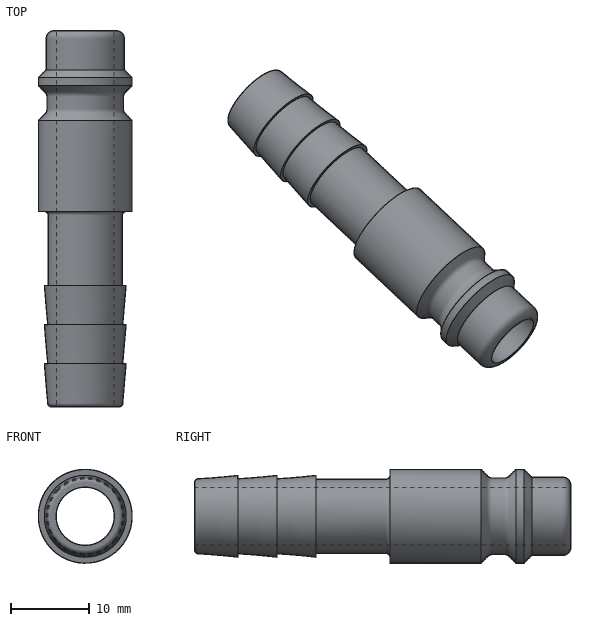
import cadquery as cq
import math

length = 48.0
hose_end = -length / 2
plug_end = length / 2

body_radius = 6.0
tip_radius = 5.0
groove_radius = 4.9
tube_radius = 4.75
bore_radius = 3.7

tip_length = 5.0
tip_fillet = 1.0
collar_width = 1.0
groove_width = 4.45
groove_fillet = 0.8

shoulder_distance = 24.9
shoulder_fillet = 0.5
barb_count = 3
barb_radius = 5.25
barb_root_radius = 4.8
first_barb_length = 5.5
barb_pitch = 5.0
hose_end_fillet = 0.5

collar_front = plug_end - tip_length - (body_radius - tip_radius)
collar_back = collar_front - collar_width
body_front = collar_back - groove_width
shoulder = hose_end + shoulder_distance
groove_depth = body_radius - groove_radius

blend_angle = math.radians(45)
flank_blend_rise = groove_fillet * (1 - math.cos(blend_angle))
flank_blend_length = groove_fillet * math.sin(blend_angle)
blend_setback = groove_fillet * math.tan(blend_angle / 2)
mid_rise = groove_fillet * (1 - math.cos(blend_angle / 2))
mid_length = groove_fillet * math.sin(blend_angle / 2)
floor_back = body_front + groove_depth + blend_setback
floor_front = collar_back - groove_depth - blend_setback


def add_barbs(profile):
    """Draw the barbs from the hose end towards the tube."""
    for i in range(barb_count):
        crest = hose_end + first_barb_length + i * barb_pitch
        is_last = i == barb_count - 1
        next_radius = tube_radius if is_last else barb_root_radius
        profile = profile.lineTo(barb_radius, crest).lineTo(next_radius, crest)
    return profile


def add_shoulder(profile):
    """Draw the plain tube, its blended shoulder and the body."""
    return (
        profile.lineTo(tube_radius, shoulder - shoulder_fillet)
        .radiusArc((tube_radius + shoulder_fillet, shoulder), shoulder_fillet)
        .lineTo(body_radius, shoulder)
        .lineTo(body_radius, body_front)
    )


def add_groove(profile):
    """Draw the locking groove with both flanks blended into its floor."""
    blend_radius = groove_radius + flank_blend_rise
    middle_radius = groove_radius + mid_rise
    return (
        profile.lineTo(blend_radius, floor_back - flank_blend_length)
        .threePointArc((middle_radius, floor_back - mid_length), (groove_radius, floor_back))
        .lineTo(groove_radius, floor_front)
        .threePointArc(
            (middle_radius, floor_front + mid_length),
            (blend_radius, floor_front + flank_blend_length),
        )
        .lineTo(body_radius, collar_back)
    )


def add_tip(profile):
    """Draw the collar and the rounded plug tip."""
    return (
        profile.lineTo(body_radius, collar_front)
        .lineTo(tip_radius, plug_end - tip_length)
        .lineTo(tip_radius, plug_end - tip_fillet)
        .radiusArc((tip_radius - tip_fillet, plug_end), -tip_fillet)
        .lineTo(bore_radius, plug_end)
    )


profile = (
    cq.Workplane("XY")
    .moveTo(bore_radius, hose_end)
    .lineTo(barb_root_radius - hose_end_fillet, hose_end)
    .radiusArc((barb_root_radius, hose_end + hose_end_fillet), -hose_end_fillet)
)
profile = add_barbs(profile)
profile = add_shoulder(profile)
profile = add_groove(profile)
profile = add_tip(profile)

result = profile.close().revolve(360, (0, 0, 0), (0, 1, 0))